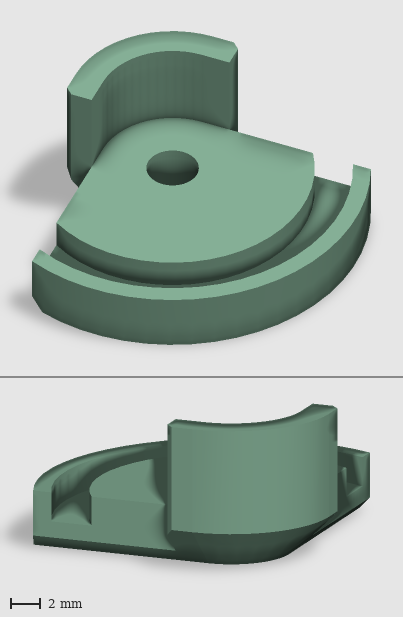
import cadquery as cq

overall_width = 20.25
rim_radius = 13.25
wall_outer_radius = overall_width - rim_radius
wall_thickness = 1.98
wall_inner_radius = wall_outer_radius - wall_thickness
wall_height = 10.0
wall_overrun = 2.0
wall_corner_chamfer = 0.5
bottom_chamfer = 2.88

base_height = 4.0
groove_inner_radius = 9.5
groove_outer_radius = 12.05
groove_depth = 2.0
hole_diameter = 3.5

blank_reach = 2 * rim_radius


def rounded_corner_block(corner_radius, reach, height):
    """Block whose -X +Y corner is rounded about the pivot axis."""
    diagonal = corner_radius * 0.5 ** 0.5
    return (
        cq.Workplane("XY")
        .moveTo(reach, corner_radius)
        .lineTo(0, corner_radius)
        .threePointArc((-diagonal, diagonal), (-corner_radius, 0))
        .lineTo(-corner_radius, -reach)
        .lineTo(reach, -reach)
        .close()
        .extrude(height)
    )


def make_base():
    disc = cq.Workplane("XY").circle(rim_radius).extrude(base_height)
    return disc.intersect(rounded_corner_block(wall_inner_radius, blank_reach, base_height))


def make_wall():
    outer = rounded_corner_block(wall_outer_radius, wall_overrun, wall_height)
    outer = outer.edges("|Z and (<X or >Y)").chamfer(wall_corner_chamfer)
    inner = rounded_corner_block(wall_inner_radius, blank_reach, wall_height)
    return outer.cut(inner)


def make_groove():
    return (
        cq.Workplane("XY", origin=(0, 0, base_height - groove_depth))
        .circle(groove_outer_radius)
        .circle(groove_inner_radius)
        .extrude(groove_depth)
        .intersect(rounded_corner_block(wall_inner_radius, blank_reach, base_height))
    )


def make_chamfered_envelope():
    """Outer limit of the part, bevelled along its lower edges."""
    block = rounded_corner_block(wall_outer_radius, blank_reach, wall_height)
    return block.faces("<Z").edges().chamfer(bottom_chamfer)


pivot_hole = cq.Workplane("XY").circle(hole_diameter / 2).extrude(base_height)

result = (
    make_base()
    .union(make_wall())
    .intersect(make_chamfered_envelope())
    .cut(make_groove())
    .cut(pivot_hole)
)